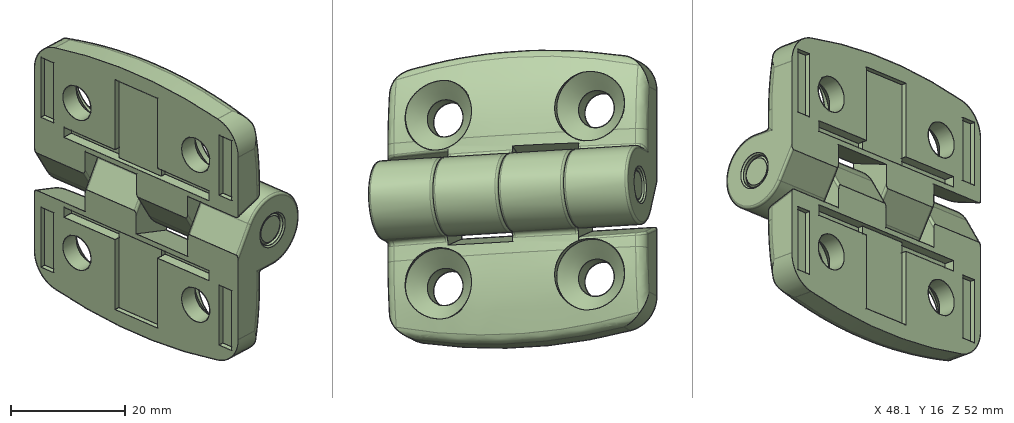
import cadquery as cq
import math

LEAF_WIDTH = 48.06
LEAF_HEIGHT = 26.0
BOWED_END_RADIUS = 100.0
CORNER_RADIUS = 6.0
PLATE_START = 6.0
RIM_RADIUS = 1.85

PLATE_THICKNESS = 7.95
DOME_FLAT_END = 10.5
DOME_LENGTH_RADIUS = 54.0
DOME_CROSS_RADIUS = 200.0

AXIS_Y = 9.0
KNUCKLE_RADIUS = 6.95
KNUCKLE_INNER_END = 12.1
MIDDLE_GAP = 0.06
KNUCKLE_FOOT = 1.5
KNUCKLE_EDGE_RADIUS = 0.45
ROOT_RADIUS = 0.85
CLEARANCE_ANGLE = 17.5
CLEARANCE_EDGE_RADIUS = 0.5

PIN_DIAMETER = 5.9
PIN_CHAMFER = 0.45
PIN_RECESS = 0.5
BORE_DIAMETER = 6.0
BORE_CHAMFER = 0.3

SCREW_X = 14.0
SCREW_Z = 15.0
SCREW_DIAMETER = 6.6
SCREW_BORE_DEPTH = 3.5
SCREW_HEAD_DIAMETER = 12.6

SHALLOW_DEPTH = 1.0
SLOT_DEPTH = 2.0
RECESS_START = 7.0
CENTRE_POCKET_WIDTH = 10.0
CENTRE_POCKET_END = 23.0
CROSS_SLOT_END_X = 17.1
CROSS_SLOT_HEIGHT = 2.0
SIDE_POCKET_X = 21.0
SIDE_POCKET_WIDTH = 3.0
SIDE_POCKET_HEIGHT = 12.0

HALF_WIDTH = LEAF_WIDTH / 2
SIDE_DROP = BOWED_END_RADIUS - math.sqrt(BOWED_END_RADIUS**2 - HALF_WIDTH**2)
SIDE_HEIGHT = LEAF_HEIGHT - SIDE_DROP
OVERSIZE = 2 * LEAF_WIDTH
MARGIN = 1.0
TINY = 0.01

KNUCKLE_RANGES = [(-HALF_WIDTH, -KNUCKLE_INNER_END), (MIDDLE_GAP / 2, KNUCKLE_INNER_END)]
NOTCH_RANGES = [(-KNUCKLE_INNER_END, MIDDLE_GAP / 2), (KNUCKLE_INNER_END, HALF_WIDTH)]


def box(x_range, y_range, z_range):
    """Axis-aligned block between the given limits."""
    size = [high - low for low, high in (x_range, y_range, z_range)]
    corner = (x_range[0], y_range[0], z_range[0])
    return cq.Workplane("XY").box(*size, centered=False).translate(corner)


def plate_outline():
    """Prism along Y with straight sides and a bowed end."""
    return (
        cq.Workplane("XZ")
        .moveTo(-HALF_WIDTH, PLATE_START)
        .lineTo(-HALF_WIDTH, SIDE_HEIGHT)
        .threePointArc((0, LEAF_HEIGHT), (HALF_WIDTH, SIDE_HEIGHT))
        .lineTo(HALF_WIDTH, PLATE_START)
        .close()
        .extrude(-2 * PLATE_THICKNESS)
    )


def dome_y(z):
    """Height of the domed back on the centre line at distance z from the hinge axis."""
    run = z - DOME_FLAT_END
    return PLATE_THICKNESS - DOME_LENGTH_RADIUS + math.sqrt(DOME_LENGTH_RADIUS**2 - run**2)


def dome():
    """Body under the domed back: its lengthwise profile turned about a far axis along Z."""
    top = LEAF_HEIGHT + RIM_RADIUS
    middle = (DOME_FLAT_END + top) / 2
    axis_y = PLATE_THICKNESS - DOME_CROSS_RADIUS
    sweep_angle = 20.0
    profile = (
        cq.Workplane("YZ")
        .moveTo(-PLATE_THICKNESS, 0)
        .lineTo(PLATE_THICKNESS, 0)
        .lineTo(PLATE_THICKNESS, DOME_FLAT_END)
        .threePointArc((dome_y(middle), middle), (dome_y(top), top))
        .lineTo(-PLATE_THICKNESS, top)
        .close()
    )
    turned = profile.revolve(sweep_angle, (axis_y, 0, 0), (axis_y, 1, 0))
    return turned.rotate((0, axis_y, 0), (0, axis_y, 1), -sweep_angle / 2)


def plate():
    """Domed plate with a rounded rim and rounded corners."""
    blank = plate_outline().intersect(dome())
    blank = blank.edges("not (|Y or <Y or <Z)").fillet(RIM_RADIUS)
    rounded = plate_outline().edges("|Y").edges(">Z").fillet(CORNER_RADIUS)
    return blank.intersect(rounded)


def knuckle(x_range):
    """Barrel with a flat top side and a tangent underside running down to the mounting face."""
    foot_distance = math.hypot(AXIS_Y, KNUCKLE_FOOT)
    foot_direction = math.atan2(KNUCKLE_FOOT, -AXIS_Y)
    tangent_direction = foot_direction + math.acos(KNUCKLE_RADIUS / foot_distance)
    tangent_y = AXIS_Y + KNUCKLE_RADIUS * math.cos(tangent_direction)
    tangent_z = KNUCKLE_RADIUS * math.sin(tangent_direction)
    body = (
        cq.Workplane("YZ", origin=(x_range[0], 0, 0))
        .moveTo(0, KNUCKLE_FOOT)
        .lineTo(tangent_y, tangent_z)
        .threePointArc((AXIS_Y + KNUCKLE_RADIUS, 0), (AXIS_Y, KNUCKLE_RADIUS))
        .lineTo(0, KNUCKLE_RADIUS)
        .close()
        .extrude(x_range[1] - x_range[0])
    )
    ends = cq.selectors.BoxSelector((-OVERSIZE, TINY, -OVERSIZE), (OVERSIZE, OVERSIZE, OVERSIZE))
    return body.faces("<X or >X").edges(ends).fillet(KNUCKLE_EDGE_RADIUS)


def notch(x_range):
    """Wedge that slopes the plate edge away from the other leaf's knuckle."""
    slope = math.tan(math.radians(CLEARANCE_ANGLE))
    reach = 2 * PLATE_THICKNESS
    return (
        cq.Workplane("YZ", origin=(x_range[0], 0, 0))
        .moveTo(0, PLATE_START)
        .lineTo(reach, PLATE_START + slope * reach)
        .lineTo(reach, 0)
        .lineTo(0, 0)
        .close()
        .extrude(x_range[1] - x_range[0])
    )


def round_clearance_end(body):
    """Round the outer end of the sloped plate edge beside the other leaf's outer knuckle."""
    end = cq.selectors.BoxSelector(
        (HALF_WIDTH - TINY, -TINY, PLATE_START - TINY), (OVERSIZE, PLATE_THICKNESS, KNUCKLE_RADIUS + MARGIN)
    )
    return body.edges(end).edges("not (|Y or |Z)").fillet(CLEARANCE_EDGE_RADIUS)


def blend_roots(body):
    """Blend the flat top of each knuckle into the domed back."""
    for x_range in KNUCKLE_RANGES:
        root = cq.selectors.BoxSelector(
            (x_range[0] + MARGIN, RIM_RADIUS, KNUCKLE_RADIUS - TINY),
            (x_range[1] - MARGIN, AXIS_Y - TINY, KNUCKLE_RADIUS + TINY),
        )
        body = body.edges(root).fillet(ROOT_RADIUS)
    return body


def screw_hole(x):
    """Straight bore from the mounting face, a 90 degree countersink and a straight recess above it."""
    radius = SCREW_DIAMETER / 2
    head_radius = SCREW_HEAD_DIAMETER / 2
    top = PLATE_THICKNESS + MARGIN
    return (
        cq.Workplane("XY")
        .lineTo(radius, 0)
        .lineTo(radius, SCREW_BORE_DEPTH)
        .lineTo(head_radius, SCREW_BORE_DEPTH + head_radius - radius)
        .lineTo(head_radius, top)
        .lineTo(0, top)
        .close()
        .revolve(360, (0, 0, 0), (0, 1, 0))
        .translate((x, 0, SCREW_Z))
    )


def recesses():
    """Pockets and slots in the mounting face."""
    half_pocket = CENTRE_POCKET_WIDTH / 2
    slot_top = RECESS_START + CROSS_SLOT_HEIGHT
    centre = box((-half_pocket, half_pocket), (0, SHALLOW_DEPTH), (RECESS_START, CENTRE_POCKET_END))
    cutters = [centre]
    for side in (-1, 1):
        slot_x = sorted((side * half_pocket, side * CROSS_SLOT_END_X))
        cutters.append(box(slot_x, (0, SLOT_DEPTH), (RECESS_START, slot_top)))
        middle = side * SIDE_POCKET_X
        side_x = (middle - SIDE_POCKET_WIDTH / 2, middle + SIDE_POCKET_WIDTH / 2)
        cutters.append(box(side_x, (0, SHALLOW_DEPTH), (slot_top, slot_top + SIDE_POCKET_HEIGHT)))
    return cutters


def pin_bore(x_range):
    """Bore through one knuckle, flared at both mouths."""
    radius = BORE_DIAMETER / 2
    mouth = radius + BORE_CHAMFER
    start, end = x_range
    return (
        cq.Workplane("XY")
        .moveTo(start, 0)
        .lineTo(start, mouth)
        .lineTo(start + BORE_CHAMFER, radius)
        .lineTo(end - BORE_CHAMFER, radius)
        .lineTo(end, mouth)
        .lineTo(end, 0)
        .close()
        .revolve(360, (0, 0, 0), (1, 0, 0))
        .translate((0, AXIS_Y, 0))
    )


def leaf():
    """Upper hinge leaf."""
    body = plate()
    for x_range in NOTCH_RANGES:
        body = body.cut(notch(x_range))
    body = round_clearance_end(body)
    for x_range in KNUCKLE_RANGES:
        body = body.union(knuckle(x_range))
    body = blend_roots(body)
    for x_range in KNUCKLE_RANGES:
        body = body.cut(pin_bore(x_range))
    for side in (-1, 1):
        body = body.cut(screw_hole(side * SCREW_X))
    for cutter in recesses():
        body = body.cut(cutter)
    return body


def hinge_pin():
    """Pin lying in the knuckle bores."""
    end = HALF_WIDTH - PIN_RECESS
    return (
        cq.Workplane("YZ", origin=(-end, 0, 0))
        .center(AXIS_Y, 0)
        .circle(PIN_DIAMETER / 2)
        .extrude(2 * end)
        .faces("<X or >X")
        .chamfer(PIN_CHAMFER)
    )


upper_leaf = leaf()
lower_leaf = upper_leaf.rotate((0, 0, 0), (0, 1, 0), 180)
pin = hinge_pin()

result = cq.Compound.makeCompound([upper_leaf.val(), lower_leaf.val(), pin.val()])